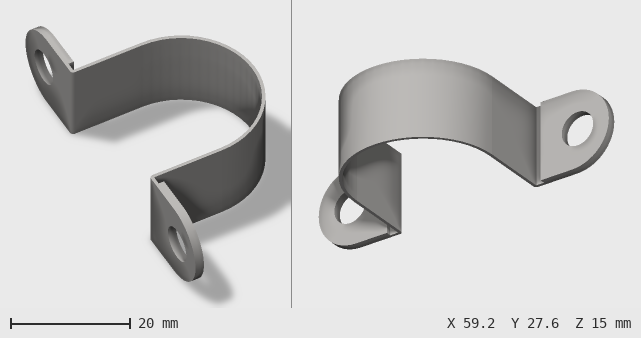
import cadquery as cq

total_length = 59.2
total_depth = 27.6
strap_width = 15.0
sheet = 0.6
inner_radius = 13.5
ear_thickness = 1.6
ear_pad_start = 15.7
hole_diameter = 6.4
hole_x = 23.2

outer_radius = inner_radius + sheet
base_y = outer_radius - total_depth
ear_tip_x = total_length / 2
ear_radius = strap_width / 2
ear_center_x = ear_tip_x - ear_radius
bend_radius = sheet


def extrude_strap(profile):
    """Extrude a closed XY profile over the strap width, centred on Z = 0."""
    return profile.extrude(strap_width / 2, both=True)


def make_saddle():
    """U-shaped band: half-round arch and two straight legs with rounded bends at the base."""
    bend_top_y = base_y + bend_radius
    profile = (
        cq.Workplane("XY")
        .moveTo(-outer_radius, base_y)
        .lineTo(-outer_radius, 0)
        .threePointArc((0, outer_radius), (outer_radius, 0))
        .lineTo(outer_radius, base_y)
        .radiusArc((inner_radius, bend_top_y), bend_radius)
        .lineTo(inner_radius, 0)
        .threePointArc((0, inner_radius), (-inner_radius, 0))
        .lineTo(-inner_radius, bend_top_y)
        .radiusArc((-outer_radius, base_y), bend_radius)
        .close()
    )
    return extrude_strap(profile)


def make_ear():
    """Ear on the +X side: thin flange, thickened pad, rounded tip and screw hole."""
    side_profile = (
        cq.Workplane("XY")
        .moveTo(outer_radius, base_y)
        .lineTo(ear_tip_x, base_y)
        .lineTo(ear_tip_x, base_y + ear_thickness)
        .lineTo(ear_pad_start, base_y + ear_thickness)
        .lineTo(ear_pad_start, base_y + sheet)
        .lineTo(outer_radius, base_y + sheet)
        .close()
    )
    face_outline = (
        cq.Workplane("XZ", origin=(0, base_y, 0))
        .moveTo(outer_radius, -ear_radius)
        .lineTo(ear_center_x, -ear_radius)
        .threePointArc((ear_tip_x, 0), (ear_center_x, ear_radius))
        .lineTo(outer_radius, ear_radius)
        .close()
        .extrude(-ear_thickness)
    )
    screw_hole = (
        cq.Workplane("XZ", origin=(hole_x, base_y, 0))
        .circle(hole_diameter / 2)
        .extrude(-ear_thickness)
    )
    return extrude_strap(side_profile).intersect(face_outline).cut(screw_hole)


ear = make_ear()
result = make_saddle().union(ear).union(ear.mirror("YZ"))